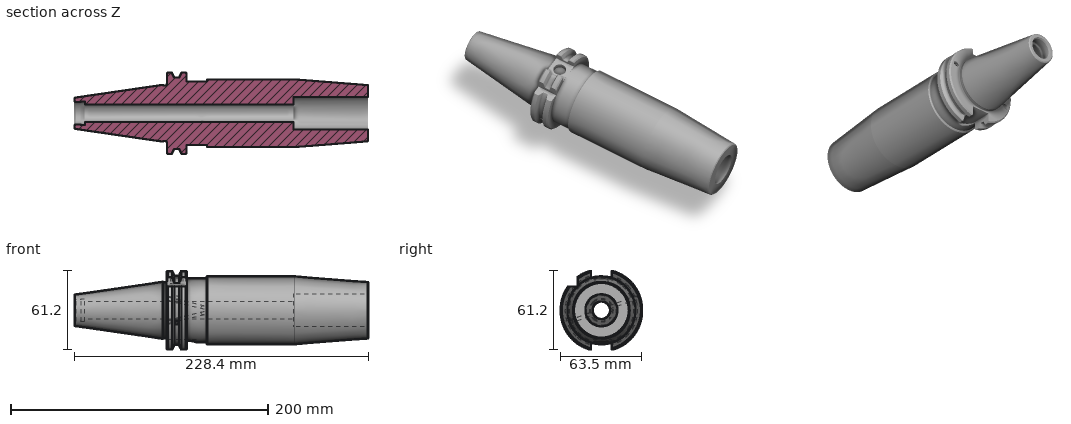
import cadquery as cq
import math


gauge_diameter = 44.45
shank_length = 68.4
taper_ratio = 7 / 24
shank_end_chamfer = 0.7
neck_diameter = 43.8
neck_start = 1.0
neck_fillet = 0.6

flange_diameter = 63.55
flange_start = 3.2
flange_end = 19.1
flange_chamfer = 1.0
groove_center = 11.1
groove_root_diameter = 56.25
groove_root_width = 3.7
groove_half_angle = 27

collar_diameter = 50
body_start = 35
body_diameter = 53
body_chamfer = 0.7
nose_end = 160
nose_diameter = 44
nose_half_angle = 4.5
nose_chamfer = 0.7

stud_bore = 17
stud_mouth = 18.5
stud_mouth_half_angle = 30
stud_relief_bore = 17.6
stud_relief_start = 5
stud_bore_depth = 8
through_bore = 13.5
tool_bore = 25
tool_bore_depth = 58

slot_width = 16.1
slot_edge_chamfer = 0.5
runout_clearance = 0.1
top_slot_floor = 25
bottom_slot_floor = 22.8
notch_distance = 18.5
marker_hole_diameter = 10
marker_hole_depth = 4
coolant_angle = 20
coolant_radius = 27
coolant_tilt = 35
coolant_mouth = 4
coolant_mouth_depth = 2.5
coolant_channel = 2.5
cross_hole = 3.24

TOLERANCE = 1e-4


def revolve_profile(points):
    """Revolve (x, radius) points, closed along the axis, about X."""
    closed = [(points[0][0], 0)] + points + [(points[-1][0], 0)]
    return cq.Workplane("XY").polyline(closed).close().revolve(360, (0, 0), (1, 0))


def fillet_ring(solid, edge_x, edge_radius, fillet):
    """Round the circular edge about X that has the given position and radius."""
    def on_ring(edge):
        return (
            edge.geomType() == "CIRCLE"
            and abs(edge.Center().x - edge_x) < TOLERANCE
            and abs(edge.radius() - edge_radius) < TOLERANCE
        )
    return solid.newObject(solid.edges().filter(on_ring).vals()).fillet(fillet)


def make_body():
    """Solid of revolution from the small shank end to the nose, without bores or slots."""
    slope = taper_ratio / 2
    gauge_radius = gauge_diameter / 2
    end_radius = gauge_radius - shank_length * slope
    chamfer_end = -shank_length + shank_end_chamfer
    flange_radius = flange_diameter / 2
    root_radius = groove_root_diameter / 2
    root_half = groove_root_width / 2
    mouth_half = root_half + (flange_radius - root_radius) * math.tan(math.radians(groove_half_angle))
    nose_radius = nose_diameter / 2
    body_radius = body_diameter / 2
    nose_start = nose_end - (body_radius - nose_radius) / math.tan(math.radians(nose_half_angle))
    chamfer_start = nose_end - nose_chamfer
    chamfer_radius = nose_radius + nose_chamfer * math.tan(math.radians(nose_half_angle))
    body = revolve_profile([
        (-shank_length, end_radius - shank_end_chamfer),
        (chamfer_end, end_radius + shank_end_chamfer * slope),
        (0, gauge_radius),
        (neck_start, neck_diameter / 2),
        (flange_start, neck_diameter / 2),
        (flange_start, flange_radius - flange_chamfer),
        (flange_start + flange_chamfer, flange_radius),
        (groove_center - mouth_half, flange_radius),
        (groove_center - root_half, root_radius),
        (groove_center + root_half, root_radius),
        (groove_center + mouth_half, flange_radius),
        (flange_end - flange_chamfer, flange_radius),
        (flange_end, flange_radius - flange_chamfer),
        (flange_end, collar_diameter / 2),
        (body_start - body_chamfer, collar_diameter / 2),
        (body_start - body_chamfer, body_radius - body_chamfer),
        (body_start, body_radius),
        (nose_start, body_radius),
        (chamfer_start, chamfer_radius),
        (nose_end, nose_radius - nose_chamfer),
    ])
    return fillet_ring(body, flange_start, neck_diameter / 2, neck_fillet)


def make_bores():
    """Pull-stud bore with its relief, through bore and tool bore on one axis."""
    mouth_length = (stud_mouth - stud_bore) / 2 / math.tan(math.radians(stud_mouth_half_angle))
    stud_relief = -shank_length + stud_relief_start
    stud_floor = -shank_length + stud_bore_depth
    tool_floor = nose_end - tool_bore_depth
    return revolve_profile([
        (-shank_length, stud_mouth / 2),
        (-shank_length + mouth_length, stud_bore / 2),
        (stud_relief, stud_bore / 2),
        (stud_relief, stud_relief_bore / 2),
        (stud_floor, stud_relief_bore / 2),
        (stud_floor, through_bore / 2),
        (tool_floor, through_bore / 2),
        (tool_floor, tool_bore / 2),
        (nose_end, tool_bore / 2),
    ])


def slot_cutter(floor):
    """Drive slot toward +Z, with a round run-out where it is deeper than the collar."""
    half = slot_width / 2
    top = flange_diameter / 2
    corner = math.sqrt(top ** 2 - half ** 2)
    chamfer_y = half + slot_edge_chamfer
    chamfer_z = math.sqrt(top ** 2 - chamfer_y ** 2)
    straight = (
        cq.Workplane("YZ").workplane(offset=flange_start)
        .polyline([
            (-half, floor),
            (half, floor),
            (half, corner - slot_edge_chamfer),
            (chamfer_y, chamfer_z),
            (chamfer_y, top),
            (-chamfer_y, top),
            (-chamfer_y, chamfer_z),
            (-half, corner - slot_edge_chamfer),
        ]).close().extrude(flange_end - flange_start)
    )
    runout = (
        cq.Workplane("XY").workplane(offset=floor).center(flange_end, 0)
        .circle(half).extrude(collar_diameter / 2 - floor + runout_clearance)
    )
    return straight.union(runout) if floor < collar_diameter / 2 else straight


def make_notch():
    """Square corner removed from the -Y, +Z edge of the flange."""
    side = flange_diameter / 2
    notch = cq.Workplane("XY").box(flange_end - flange_start, side, side, centered=False)
    return notch.translate((flange_start, -notch_distance - side, notch_distance))


def make_marker_hole():
    """Blind hole in the floor of the top drive slot."""
    return (
        cq.Workplane("XY").workplane(offset=top_slot_floor)
        .center(groove_center, 0)
        .circle(marker_hole_diameter / 2).extrude(-marker_hole_depth)
    )


def coolant_cutter():
    """Slanted stepped channel from the flange face to the bore, with a cross hole from the groove."""
    tilt = math.radians(coolant_tilt)
    direction = cq.Vector(math.cos(tilt), -math.sin(tilt), 0)
    mouth = cq.Vector(flange_start, coolant_radius, 0)
    overrun = coolant_mouth
    start = mouth - direction * overrun
    entry = cq.Solid.makeCylinder(coolant_mouth / 2, overrun + coolant_mouth_depth, start, direction)
    channel_length = coolant_radius / math.sin(tilt)
    channel = cq.Solid.makeCylinder(coolant_channel / 2, channel_length, mouth, direction)
    meeting_radius = coolant_radius - (groove_center - flange_start) * math.tan(tilt)
    cross = cq.Solid.makeCylinder(
        cross_hole / 2,
        flange_diameter / 2 - meeting_radius,
        cq.Vector(groove_center, meeting_radius, 0),
        cq.Vector(0, 1, 0),
    )
    cutter = cq.Workplane(obj=entry.fuse(channel, cross))
    return cutter.rotate((0, 0, 0), (1, 0, 0), coolant_angle)


part = make_body().cut(make_bores())
part = part.cut(slot_cutter(top_slot_floor))
part = part.cut(slot_cutter(bottom_slot_floor).rotate((0, 0, 0), (1, 0, 0), 180))
part = part.cut(make_notch())
part = part.cut(make_marker_hole())
for turn in (0, 180):
    part = part.cut(coolant_cutter().rotate((0, 0, 0), (1, 0, 0), turn))
result = part